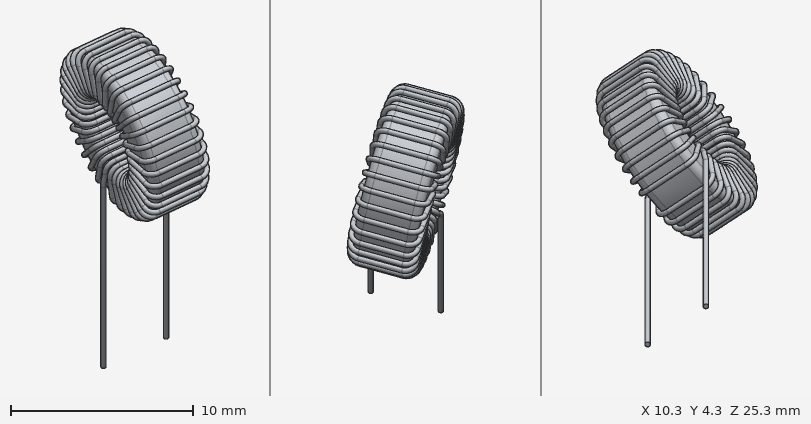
import cadquery as cq
import math


core_outer_diameter = 9.73
core_hole_diameter = 5.0
core_thickness = 3.45
wire_diameter = 0.3
bend_radius = 0.63
turns = 36
lead_spacing = 4.0
lead_top_depth = 4.07
overall_height = 25.27

wire_radius = wire_diameter / 2
core_edge_radius = bend_radius - wire_radius
inner_run_radius = core_hole_diameter / 2 - wire_radius
outer_run_radius = core_outer_diameter / 2 + wire_radius
face_run_offset = core_thickness / 2 + wire_radius
lead_offset = lead_spacing / 2
lead_end_depth = overall_height - (outer_run_radius + wire_radius)

turn_angle = 360 / turns
lead_angle = 270
front = -1
back = 1
down = cq.Vector(0, 0, -1)
up = cq.Vector(0, 0, 1)


def make_core():
    """Ring with every edge rounded to match the bends of the wire."""
    ring = (
        cq.Workplane("XZ", origin=(0, core_thickness / 2, 0))
        .circle(core_outer_diameter / 2)
        .circle(core_hole_diameter / 2)
        .extrude(core_thickness)
    )
    return ring.edges("%CIRCLE").fillet(core_edge_radius)


def winding_corner(radius, turn, side):
    """Sharp corner of the wire path on one face of the core."""
    angle = math.radians(lead_angle - turn * turn_angle)
    return cq.Vector(radius * math.cos(angle), side * face_run_offset, radius * math.sin(angle))


def winding_corners():
    """Path corners in winding order; the wire steps on by one turn across the back face."""
    corners = []
    for turn in range(turns):
        corners.append(winding_corner(outer_run_radius, turn, front))
        corners.append(winding_corner(inner_run_radius, turn, front))
        corners.append(winding_corner(inner_run_radius, turn, back))
        corners.append(winding_corner(outer_run_radius, turn + 1, back))
    return corners


def bend(before, corner, after):
    """Quarter-circle arc that rounds a right-angled path corner."""
    arriving = (corner - before).normalized()
    leaving = (after - corner).normalized()
    start = corner - arriving * bend_radius
    end = corner + leaving * bend_radius
    middle = corner + (leaving - arriving) * (bend_radius * (1 - math.sqrt(0.5)))
    return cq.Edge.makeThreePointArc(start, middle, end)


def lead_points(side):
    """Top and bottom of one straight lead."""
    top = cq.Vector(0, side * lead_offset, -lead_top_depth)
    bottom = cq.Vector(0, side * lead_offset, -lead_end_depth)
    return top, bottom


def make_winding():
    """One wire swept from the front lead, around every turn, to the back lead."""
    corners = winding_corners()
    bends = [bend(*corners[i - 1:i + 2]) for i in range(1, len(corners) - 1)]

    front_top, front_bottom = lead_points(front)
    back_top, back_bottom = lead_points(back)
    coil_start = bends[0].startPoint()
    coil_end = bends[-1].endPoint()
    last_direction = (corners[-1] - corners[-2]).normalized()

    path = [
        cq.Edge.makeLine(front_bottom, front_top),
        cq.Edge.makeSpline([front_top, coil_start], tangents=[up, up]),
        bends[0],
    ]
    for previous, following in zip(bends, bends[1:]):
        path.append(cq.Edge.makeLine(previous.endPoint(), following.startPoint()))
        path.append(following)
    path.append(cq.Edge.makeSpline([coil_end, back_top], tangents=[last_direction, down]))
    path.append(cq.Edge.makeLine(back_top, back_bottom))

    section = cq.Workplane("XY", origin=front_bottom.toTuple()).circle(wire_radius)
    return section.sweep(cq.Workplane(cq.Wire.assembleEdges(path)))


core = make_core()
winding = make_winding()

result = cq.Compound.makeCompound([core.val(), winding.val()])